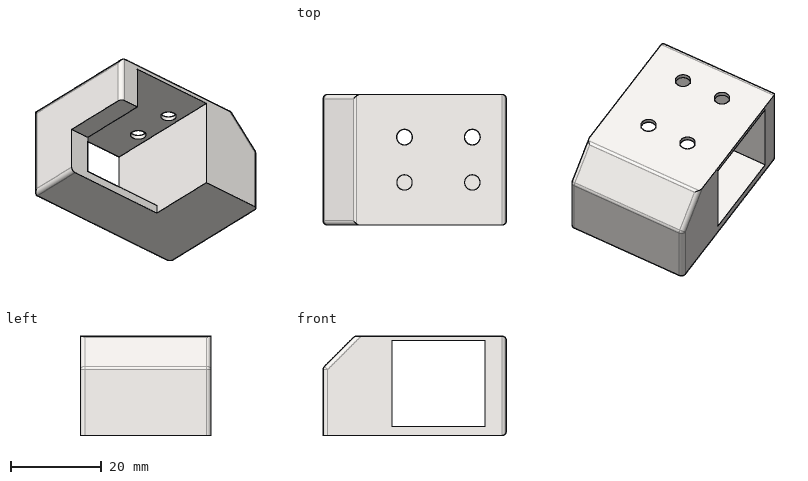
import cadquery as cq

length = 40.5
width = 28.9
height = 22.0
slope_size = 7.0
edge_radius = 1.0

window_length = 20.5
window_end_wall = 4.78
window_roof = 1.0
window_floor = 2.02
window_height = height - window_roof - window_floor
window_center_x = length - window_end_wall - window_length / 2

screw_diameter = 3.4
screw_spacing_x = 15.0
screw_spacing_y = 10.0

floor_depth = 12.5
notch_height = height / 2


def make_body():
    """Block with a sloped upper edge and rounded ends."""
    profile = [
        (0, 0),
        (length, 0),
        (length, height),
        (slope_size, height),
        (0, height - slope_size),
    ]
    body = (
        cq.Workplane("XZ")
        .polyline(profile)
        .close()
        .extrude(width / 2, both=True)
    )
    rounded_edges = (
        body.faces(">X").edges()
        .add(body.faces("<X").edges("not <Z"))
        .add(body.faces("<(1, 0, -1)").edges())
    )
    return rounded_edges.fillet(edge_radius)


def make_window():
    return (
        cq.Workplane("XY", origin=(window_center_x, 0, window_floor))
        .box(window_length, width, window_height, centered=(True, True, False))
    )


def make_notch():
    notch_start_x = window_center_x - window_length / 2
    notch_start_y = floor_depth - width / 2
    return (
        cq.Workplane("XY", origin=(notch_start_x, notch_start_y, 0))
        .box(length - notch_start_x, width - floor_depth, notch_height, centered=False)
    )


def make_screw_holes():
    return (
        cq.Workplane("XY", origin=(window_center_x, 0, height - window_roof))
        .rarray(screw_spacing_x, screw_spacing_y, 2, 2)
        .circle(screw_diameter / 2)
        .extrude(window_roof)
    )


result = make_body().cut(make_window()).cut(make_notch()).cut(make_screw_holes())